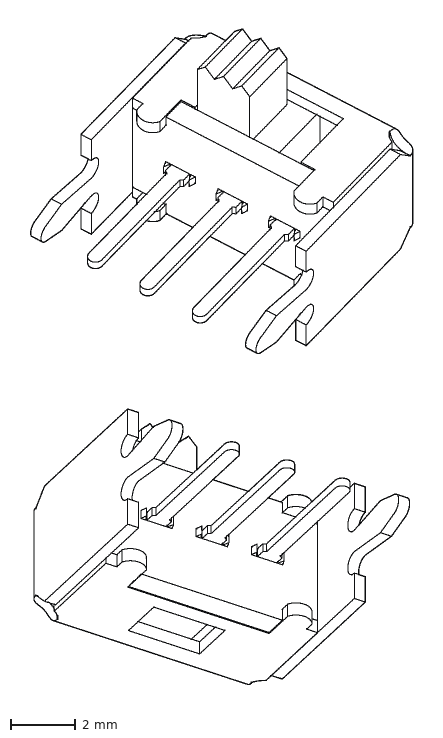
import cadquery as cq
import math


length_y = 8.7
frame_width = 8.6
wall = 0.4
frame_height = 4.5
plate_thickness = 0.45
plate_width = 7.665
plate_front = 3.89
bend_relief_radius = 0.63
bend_relief_inset = 0.16
plate_relief_radius = 0.78
plate_relief_inset = 0.11
plate_relief_depth = 0.04

tab_inner = 2.56
tab_outer = 3.44
tab_shoulder = 4.21
tab_tip = 4.47

side_height = 4.3
side_front = 6.0
side_chamfer = 0.54
leg_root = 0.4
leg_notch_radius = 0.4
leg_widest = 7.595
leg_widest_half = 0.6
leg_tip_start = 8.39
leg_tip_half = 0.365

window_width = 4.04
window_rear = 0.8
floor_hole_width = 2.575
floor_hole_rear = 0.98
floor_hole_front = 2.52

base_rear = 3.08
base_top_drop = 0.07
base_bottom_rise = 0.035
pin_pitch = 2.0
pin_thickness = 0.3
pin_width = 0.5
pin_head_width = 0.7
pin_head_front = 4.21
pin_neck_start = 4.27
barb_inner = 0.38
barb_tip = 0.49
barb_outer = 0.565
barb_length = 0.22

knob_width = 2.0
knob_depth = 2.0
knob_rear = 0.98
knob_height = 1.95
ridge_pitch = 0.7
ridge_count = 3
carriage_width = 3.985
carriage_rear = 0.6

half_width = frame_width / 2
half_height = frame_height / 2
inner_half_height = half_height - plate_thickness
knob_center = -knob_width / 2


def block(x_min, x_max, rear, front, z_min, z_max):
    """Box between two X positions, two distances from the rear face and two heights."""
    return (
        cq.Workplane("XY")
        .box(x_max - x_min, front - rear, z_max - z_min, centered=False)
        .translate((x_min, -front, z_min))
    )


def rounded_bar(plane, span):
    """Bar as thick as the wall along Y, both rear corners rounded to the full thickness."""
    end = span / 2
    flat_end = end - wall
    arc_offset = wall * math.sqrt(0.5)
    return (
        cq.Workplane(plane)
        .moveTo(-end, -wall)
        .threePointArc((-flat_end - arc_offset, arc_offset - wall), (-flat_end, 0))
        .lineTo(flat_end, 0)
        .threePointArc((flat_end + arc_offset, arc_offset - wall), (end, -wall))
        .close()
        .extrude(half_width, both=True)
    )


def frame_rear_wall():
    """Rear wall with its four bends rounded over and its corners relieved."""
    bent_at_sides = rounded_bar("XY", frame_width)
    upright_plane = cq.Plane(origin=(0, 0, 0), xDir=(0, 0, 1), normal=(-1, 0, 0))
    bent_at_top_and_bottom = rounded_bar(upright_plane, frame_height)
    relief_x = half_width - bend_relief_inset
    reliefs = (
        cq.Workplane("XZ")
        .rect(2 * relief_x, frame_height, forConstruction=True)
        .vertices()
        .circle(bend_relief_radius)
        .extrude(wall)
    )
    return bent_at_sides.intersect(bent_at_top_and_bottom).cut(reliefs)


def frame_plate(z_min):
    """Top or bottom plate: rounded rear corners, two front tabs and a notch for the base."""
    plate = block(-plate_width / 2, plate_width / 2, wall, plate_front, 0, plate_thickness)
    tab_middle = (tab_inner + tab_outer) / 2
    for side in (-1, 1):
        tab = (
            cq.Workplane("XY")
            .moveTo(side * tab_inner, -base_rear)
            .lineTo(side * tab_inner, -tab_shoulder)
            .threePointArc((side * tab_middle, -tab_tip), (side * tab_outer, -tab_shoulder))
            .lineTo(side * tab_outer, -base_rear)
            .close()
            .extrude(plate_thickness)
        )
        relief = (
            cq.Workplane("XY")
            .center(side * (half_width - plate_relief_inset), -plate_relief_depth)
            .circle(plate_relief_radius)
            .extrude(plate_thickness)
        )
        plate = plate.union(tab).cut(relief)
    plate = plate.cut(block(-tab_inner, tab_inner, base_rear, plate_front, 0, plate_thickness))
    return plate.translate((0, 0, z_min))


def frame_side(x_min):
    """Side wall with chamfered rear corners and a solder leg between two round notches."""
    half_side = side_height / 2
    notch_bottom = leg_root + 2 * leg_notch_radius
    notch_middle = leg_root + leg_notch_radius
    notch_rear = side_front - leg_notch_radius
    outline = (
        cq.Workplane("YZ")
        .moveTo(-wall, half_side - side_chamfer)
        .lineTo(-wall - side_chamfer, half_side)
        .lineTo(-side_front, half_side)
        .lineTo(-side_front, notch_bottom)
        .threePointArc((-notch_rear, notch_middle), (-side_front, leg_root))
        .lineTo(-leg_widest, leg_widest_half)
        .lineTo(-leg_tip_start, leg_tip_half)
        .threePointArc((-length_y, 0), (-leg_tip_start, -leg_tip_half))
        .lineTo(-leg_widest, -leg_widest_half)
        .lineTo(-side_front, -leg_root)
        .threePointArc((-notch_rear, -notch_middle), (-side_front, -notch_bottom))
        .lineTo(-side_front, -half_side)
        .lineTo(-wall - side_chamfer, -half_side)
        .lineTo(-wall, side_chamfer - half_side)
        .close()
    )
    return outline.extrude(wall).translate((x_min, 0, 0))


def make_frame():
    window = block(
        -window_width / 2, window_width / 2, window_rear, base_rear, inner_half_height, half_height
    )
    floor_hole = block(
        -floor_hole_width / 2, floor_hole_width / 2, floor_hole_rear, floor_hole_front,
        -half_height, -inner_half_height,
    )
    return (
        frame_rear_wall()
        .union(frame_plate(inner_half_height))
        .union(frame_plate(-half_height))
        .union(frame_side(-half_width))
        .union(frame_side(half_width - wall))
        .cut(window)
        .cut(floor_hole)
    )


def terminal_pin(x):
    """Flat pin with a wider head and a round tip, starting at the base front."""
    head = pin_head_width / 2
    neck = pin_width / 2
    tip_start = length_y - neck
    return (
        cq.Workplane("XY")
        .moveTo(x - head, -plate_front)
        .lineTo(x - head, -pin_head_front)
        .lineTo(x - neck, -pin_neck_start)
        .lineTo(x - neck, -tip_start)
        .threePointArc((x, -length_y), (x + neck, -tip_start))
        .lineTo(x + neck, -pin_neck_start)
        .lineTo(x + head, -pin_head_front)
        .lineTo(x + head, -plate_front)
        .close()
        .extrude(pin_thickness / 2, both=True)
    )


def pin_barb(x, side):
    """Small pointed barb standing on the base beside a pin."""
    return (
        cq.Workplane("XY")
        .moveTo(x + side * barb_inner, -plate_front)
        .lineTo(x + side * barb_tip, -plate_front - barb_length)
        .lineTo(x + side * barb_outer, -plate_front)
        .close()
        .extrude(pin_thickness / 2, both=True)
    )


def make_base():
    """Base slab between the plates, its middle filling their notches, with three pins."""
    base = block(
        -plate_width / 2, plate_width / 2, base_rear, plate_front,
        -inner_half_height, inner_half_height,
    )
    base = base.union(block(
        -tab_inner, tab_inner, base_rear, plate_front,
        base_bottom_rise - half_height, half_height - base_top_drop,
    ))
    for x in (-pin_pitch, 0, pin_pitch):
        base = base.union(terminal_pin(x))
        for side in (-1, 1):
            base = base.union(pin_barb(x, side))
    return base


def slider_knob():
    """Knob with a row of 45-degree grip ridges across its top."""
    peak_z = half_height + knob_height
    valley_z = peak_z - ridge_pitch / 2
    first_peak = knob_center - ridge_pitch * (ridge_count - 1) / 2
    x_min = knob_center - knob_width / 2
    x_max = knob_center + knob_width / 2
    shoulder_z = peak_z - (first_peak - x_min)
    outline = cq.Workplane("XZ").moveTo(x_min, inner_half_height).lineTo(x_min, shoulder_z)
    for ridge in range(ridge_count):
        peak_x = first_peak + ridge * ridge_pitch
        outline = outline.lineTo(peak_x, peak_z)
        if ridge < ridge_count - 1:
            outline = outline.lineTo(peak_x + ridge_pitch / 2, valley_z)
    outline = outline.lineTo(x_max, shoulder_z).lineTo(x_max, inner_half_height).close()
    return outline.extrude(knob_depth).translate((0, -knob_rear, 0))


def make_slider():
    """Knob on a carriage that slides between the plates, behind the base."""
    carriage = block(
        knob_center - carriage_width / 2, knob_center + carriage_width / 2,
        carriage_rear, base_rear, -inner_half_height, inner_half_height,
    )
    return carriage.union(slider_knob())


frame = make_frame().solids()
base = make_base().solids()
slider = make_slider().solids()

result = cq.Compound.makeCompound([frame.val(), base.val(), slider.val()])